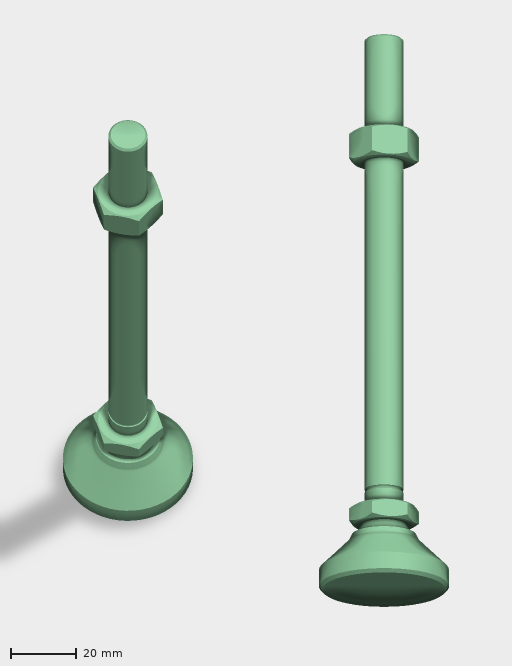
import cadquery as cq
import math

total_height = 176.0

base_diameter = 40.0
base_radius = base_diameter / 2
base_bottom_chamfer = 1.0
base_rim_top = 6.3
base_cone_top = 15.3
base_top = 17.5
lip_bottom_radius = 11.0
lip_top_radius = 9.9

ball_radius = 8.8
ball_center_height = 15.0

rod_radius = 6.0
rod_end_chamfer = 0.7
groove_height = 31.3
groove_radius = 0.5

hex_across_flats = 19.0
hex_chamfer_radius = 9.2
hex_corner_count = 6
hex_chamfer_angle = 30.0
stud_hex_bottom = 20.6
stud_hex_height = 5.8
nut_bottom = 136.4
nut_height = 9.7


def make_ball():
    return cq.Workplane("XY").sphere(ball_radius).translate((0, 0, ball_center_height))


def make_hexagon(bottom, height):
    """Hexagonal prism with flats facing +X and -X and conically chamfered corners."""
    corner_radius = hex_across_flats / 2 / math.cos(math.pi / hex_corner_count)
    chamfer_height = (corner_radius - hex_chamfer_radius) * math.tan(math.radians(hex_chamfer_angle))
    prism = (
        cq.Workplane("XY")
        .polygon(hex_corner_count, 2 * corner_radius)
        .extrude(height)
        .rotate((0, 0, 0), (0, 0, 1), 180 / hex_corner_count)
    )
    envelope = (
        cq.Workplane("XZ")
        .polyline([
            (0, 0),
            (hex_chamfer_radius, 0),
            (corner_radius, chamfer_height),
            (corner_radius, height - chamfer_height),
            (hex_chamfer_radius, height),
            (0, height),
        ])
        .close()
        .revolve(360, (0, 0, 0), (0, 1, 0))
    )
    return prism.intersect(envelope).translate((0, 0, bottom))


def make_base():
    """Conical foot with a tapered lip around the spherical socket."""
    foot = (
        cq.Workplane("XZ")
        .polyline([
            (0, 0),
            (base_radius - base_bottom_chamfer, 0),
            (base_radius, base_bottom_chamfer),
            (base_radius, base_rim_top),
            (lip_bottom_radius, base_cone_top),
            (lip_top_radius, base_top),
            (0, base_top),
        ])
        .close()
        .revolve(360, (0, 0, 0), (0, 1, 0))
    )
    return foot.cut(make_ball())


def make_rod():
    """Round rod with a chamfered upper end and a half-round groove above the hexagon."""
    return (
        cq.Workplane("XZ")
        .moveTo(0, ball_center_height)
        .lineTo(rod_radius, ball_center_height)
        .lineTo(rod_radius, groove_height - groove_radius)
        .threePointArc(
            (rod_radius - groove_radius, groove_height),
            (rod_radius, groove_height + groove_radius),
        )
        .lineTo(rod_radius, total_height - rod_end_chamfer)
        .lineTo(rod_radius - rod_end_chamfer, total_height)
        .lineTo(0, total_height)
        .close()
        .revolve(360, (0, 0, 0), (0, 1, 0))
    )


def make_stud():
    """Ball, wrench hexagon and rod in one piece."""
    return make_rod().union(make_ball()).union(make_hexagon(stud_hex_bottom, stud_hex_height))


def make_nut():
    bore = cq.Workplane("XY").circle(rod_radius).extrude(total_height)
    return make_hexagon(nut_bottom, nut_height).cut(bore)


base = make_base()
stud = make_stud()
nut = make_nut()

result = cq.Compound.makeCompound([base.val(), stud.val(), nut.val()])